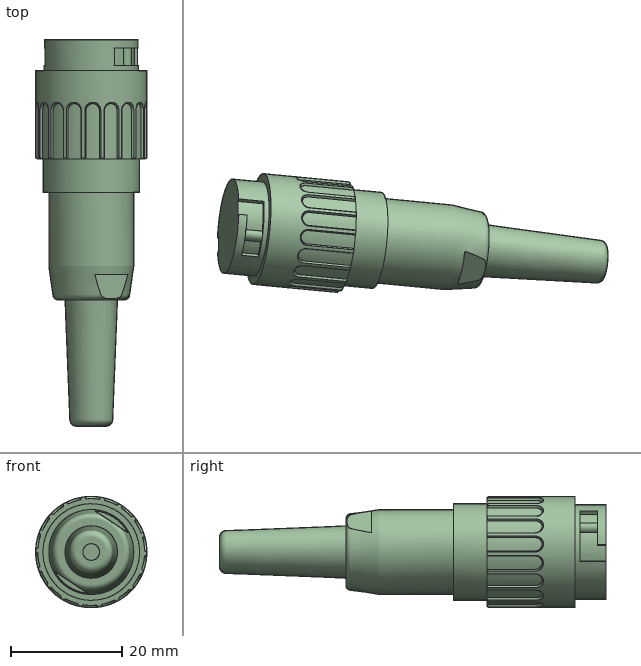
import cadquery as cq
import math

total_length = 69.5

body_rear = 22.7
cone_front = 28.8
body_front = 42.05
collar_rear = 48.1
collar_front = 63.95

nose_diameter = 17.0
collar_diameter = 20.0
sleeve_diameter = 17.4
body_diameter = 15.3
cone_rear_diameter = 13.55
cable_base_diameter = 9.45
cable_tip_diameter = 7.65
cable_bore_diameter = 3.0

cable_bore_depth = 2.8
cable_rear_round = 1.25
cone_edge_round = 1.0
collar_edge_round = 0.35

flute_count = 18
flute_width = 3.0
flute_depth = 0.4
flute_wall_angle = 30.0
flute_front = 58.25
flute_offset_angle = -1.6

flat_distance = 6.5
flat_front = 27.3
flat_angle = 56.5

slot_floor_diameter = 15.5
slot_rear = 64.85
lip_thickness = 1.5
entry_start_angle = -11.7
entry_end_angle = 9.0
slot_end_angle = 60.5
detent_diameter = 2.0
detent_angle = 34.3
detent_center_radius = (nose_diameter - detent_diameter) / 2


def revolved(profile):
    """Close a half profile and turn it about the Y axis."""
    return profile.close().revolve(360, (0, 0, 0), (0, 1, 0))


def turned_body():
    """Cable, cone, body, sleeve, collar and nose as one turned shape."""
    cable = revolved(
        cq.Workplane("XY")
        .lineTo(cable_tip_diameter / 2, 0)
        .lineTo(cable_base_diameter / 2, body_rear)
        .lineTo(0, body_rear)
    )
    cable = cable.faces("<Y").edges().fillet(cable_rear_round)
    cone = revolved(
        cq.Workplane("XY")
        .moveTo(0, body_rear)
        .lineTo(cone_rear_diameter / 2, body_rear)
        .lineTo(body_diameter / 2, cone_front)
        .lineTo(0, cone_front)
    )
    cone = cone.faces("<Y").edges().fillet(cone_edge_round).cut(flats())
    body = cylinder(body_diameter, cone_front, body_front)
    sleeve = cylinder(sleeve_diameter, body_front, collar_rear)
    collar = cylinder(collar_diameter, collar_rear, collar_front)
    collar = collar.faces("<Y").edges().fillet(collar_edge_round)
    nose = cylinder(nose_diameter, collar_front, total_length)
    return cable.union(cone).union(body).union(sleeve).union(collar).union(nose)


def cylinder(diameter, start, end):
    """Cylinder about the Y axis between two stations."""
    return cq.Workplane("XZ", origin=(0, start, 0)).circle(diameter / 2).extrude(start - end)


def about_axis(shape, angle):
    """Turn a shape about the Y axis, from +X towards +Z."""
    return shape.rotate((0, 0, 0), (0, 1, 0), -angle)


def flats():
    """Two opposite blocks that leave flats parallel to the Y axis."""
    length = flat_front - body_rear
    block = cq.Workplane("XY").box(body_diameter, length, body_diameter)
    block = block.translate((flat_distance + body_diameter / 2, body_rear + length / 2, 0))
    upper = about_axis(block, flat_angle)
    return upper.union(about_axis(block, flat_angle + 180))


def flute():
    """Cutter with sloping walls, a round front end and a floor that follows the collar."""
    half_width = flute_width / 2
    arc_center = flute_front - half_width
    rear = collar_rear - flute_width
    cutter = (
        cq.Workplane("YZ", origin=(collar_diameter / 2, 0, 0))
        .moveTo(rear, -half_width)
        .lineTo(arc_center, -half_width)
        .threePointArc((flute_front, 0), (arc_center, half_width))
        .lineTo(rear, half_width)
        .close()
        .extrude(-2 * flute_depth, taper=flute_wall_angle)
    )
    core = cylinder(collar_diameter - 2 * flute_depth, rear, flute_front)
    return cutter.cut(core)


def sector(start_angle, end_angle, start, end):
    """Cutter from the slot floor out past the nose, between two angles about Y."""
    reach = nose_diameter
    start_direction = math.radians(start_angle)
    end_direction = math.radians(end_angle)
    wedge = (
        cq.Workplane("XZ", origin=(0, start, 0))
        .lineTo(reach * math.cos(start_direction), reach * math.sin(start_direction))
        .lineTo(reach * math.cos(end_direction), reach * math.sin(end_direction))
        .close()
        .extrude(start - end)
    )
    return wedge.cut(cylinder(slot_floor_diameter, start, end))


def bayonet_slot():
    """Open entry and sideways run behind the lip, with a round detent left standing in the run."""
    lip_rear = total_length - lip_thickness
    entry = sector(entry_start_angle, entry_end_angle, slot_rear, total_length)
    run = sector(entry_start_angle, slot_end_angle, slot_rear, lip_rear)
    detent = cylinder(detent_diameter, slot_rear, lip_rear).translate((detent_center_radius, 0, 0))
    return entry.union(run).cut(about_axis(detent, detent_angle))


result = turned_body()
result = result.cut(cylinder(cable_bore_diameter, 0, cable_bore_depth))

single_flute = flute()
for index in range(flute_count):
    angle = 90 + flute_offset_angle + index * 360 / flute_count
    result = result.cut(about_axis(single_flute, angle))

single_slot = bayonet_slot()
for angle in (0, 180):
    result = result.cut(about_axis(single_slot, angle))